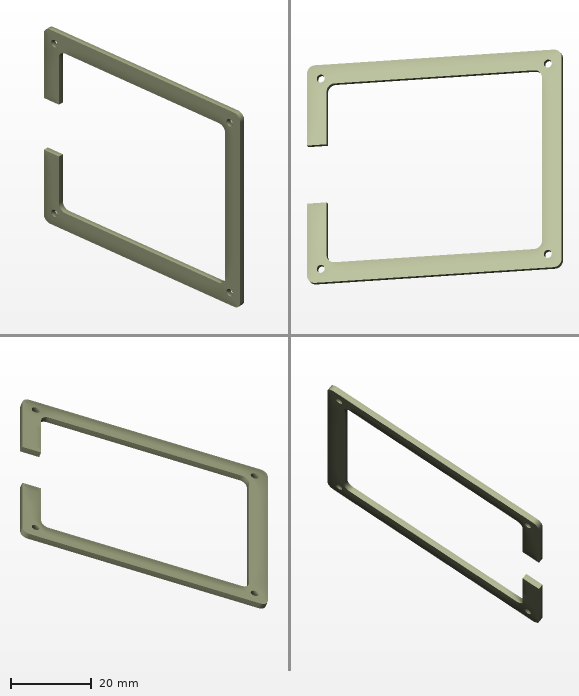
import cadquery as cq

length = 65.0
height = 56.0
thickness = 1.5
corner_radius = 2.0

rim_width = 5.0
opening_length = length - 2 * rim_width
opening_height = height - 2 * rim_width
opening_radius = 2.0

gap_height = 14.95

hole_diameter = 2.0
hole_inset = 3.5


def rounded_plate(plate_length, plate_height, radius):
    """Plate in the XZ plane, centred on the origin, with rounded corners."""
    plate = cq.Workplane("XY").box(plate_length, thickness, plate_height)
    return plate.edges("|Y").fillet(radius)


def side_gap():
    """Block that cuts through the middle of the left side."""
    block = cq.Workplane("XY").box(rim_width, thickness, gap_height)
    return block.translate((-(length - rim_width) / 2, 0, 0))


def corner_holes():
    """One through-hole cutter near each corner of the plate."""
    return (
        cq.Workplane("XZ")
        .rect(length - 2 * hole_inset, height - 2 * hole_inset, forConstruction=True)
        .vertices()
        .circle(hole_diameter / 2)
        .extrude(thickness / 2, both=True)
    )


frame = rounded_plate(length, height, corner_radius)
frame = frame.cut(rounded_plate(opening_length, opening_height, opening_radius))
frame = frame.cut(side_gap())
result = frame.cut(corner_holes())